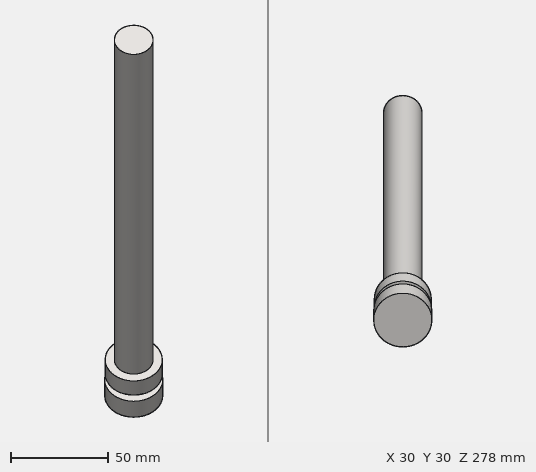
import cadquery as cq

total_length = 278.0
rod_diameter = 20.0

lower_land_diameter = 30.0
lower_land_height = 12.5
groove_diameter = 21.0
groove_width = 4.5
upper_land_diameter = 29.5
upper_land_height = 11.0


def stack_cylinder(body, diameter, height):
    """Add a coaxial cylinder on top of the body."""
    return body.faces(">Z").workplane().circle(diameter / 2).extrude(height)


head_height = lower_land_height + groove_width + upper_land_height
rod_length = total_length - head_height

result = cq.Workplane("XY").circle(lower_land_diameter / 2).extrude(lower_land_height)
result = stack_cylinder(result, groove_diameter, groove_width)
result = stack_cylinder(result, upper_land_diameter, upper_land_height)
result = stack_cylinder(result, rod_diameter, rod_length)